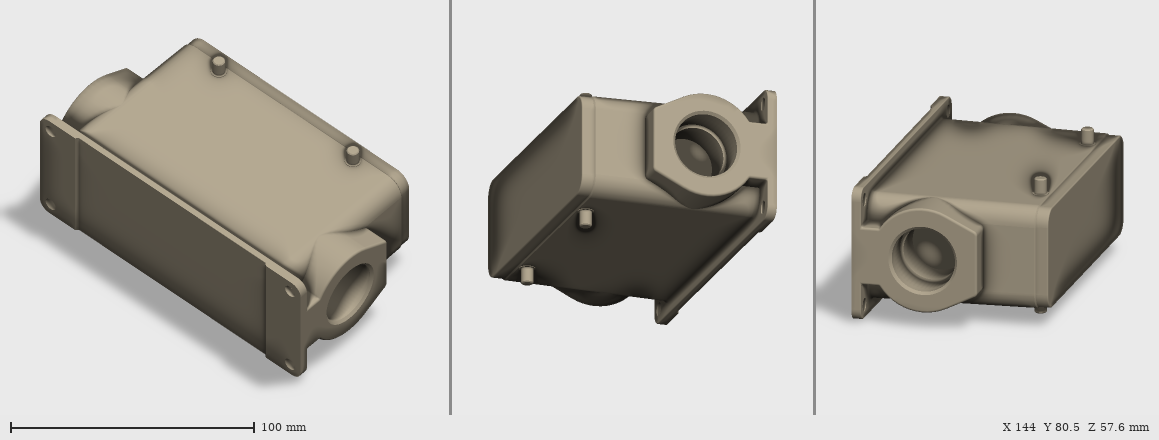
import cadquery as cq
import math

LENGTH = 144.0
DEPTH = 80.5
PIN_SPAN = 57.6
PICK_MARGIN = 0.1

PLATE_WIDTH = 56.5
PLATE_THICKNESS = 4.0
PLATE_CORNER_RADIUS = 5.0
PLATE_EDGE_RADIUS = 0.5
SCREW_HOLE_DIAMETER = 5.6
SCREW_HOLE_X = 66.1
SCREW_HOLE_Z = 22.5
RELIEF_DEPTH = 1.2
RELIEF_MOUTH_HALF_LENGTH = 52.7

BOX_LENGTH = 122.5
BOX_WIDTH = 45.5
BOX_DRAFT = 0.6
BOX_CORNER_RADIUS = 7.8
BOX_RIM_CHAMFER = 0.6
BASE_FILLET = 0.9

COVER_THICKNESS = 5.2
COVER_CORNER_RADIUS = 6.9
COVER_EDGE_RADIUS = 0.6
BOX_DEPTH = DEPTH - COVER_THICKNESS
BOX_SHRINK = 2 * BOX_DEPTH * math.tan(math.radians(BOX_DRAFT))
COVER_LENGTH = BOX_LENGTH - BOX_SHRINK - 2 * BOX_RIM_CHAMFER
COVER_WIDTH = BOX_WIDTH - BOX_SHRINK - 2 * BOX_RIM_CHAMFER

ENTRY_Y = 30.4
ENTRY_RADIUS = 22.3
ENTRY_TOP_Y = 53.4
ENTRY_TOP_HALF_WIDTH = 13.5
ENTRY_NECK_HALF_WIDTH = 12.2
ENTRY_LENGTH = 20.2
ENTRY_TOP_CORNER_RADIUS = 2.2
ENTRY_NECK_FILLET = 0.7
ENTRY_EDGE_RADIUS = 1.0
BORE_DIAMETER = 27.0
BORE_DEPTH = 14.4
INNER_BORE_DIAMETER = 24.0
INNER_BORE_DEPTH = 28.8
BORE_CHAMFER = 1.2

PIN_X = 37.0
PIN_Y = 71.1
PIN_DIAMETER = 5.2
PIN_CHAMFER = 0.5
COLLAR_DIAMETER = 6.8
COLLAR_TOP_Z = 22.3
COLLAR_SEAT_Z = 21.6


def rounded_block(length, width, thickness, start_y, corner_radius, edge_radius):
    """A plate lying across Y, with round corners and a rounded rim on its +Y face."""
    return (
        cq.Workplane("XZ", origin=(0, start_y, 0))
        .rect(length, width)
        .extrude(-thickness)
        .edges("|Y")
        .fillet(corner_radius)
        .faces(">Y")
        .edges()
        .fillet(edge_radius)
    )


def make_plate():
    return rounded_block(
        LENGTH, PLATE_WIDTH, PLATE_THICKNESS, 0, PLATE_CORNER_RADIUS, PLATE_EDGE_RADIUS
    )


def make_box():
    return (
        cq.Workplane("XZ")
        .rect(BOX_LENGTH, BOX_WIDTH)
        .extrude(-BOX_DEPTH, taper=BOX_DRAFT)
        .edges("not(|X or |Z)")
        .fillet(BOX_CORNER_RADIUS)
        .faces(">Y")
        .edges()
        .chamfer(BOX_RIM_CHAMFER)
    )


def make_entry():
    """The cable entry at the -X end: a round boss with a flat top, standing on a straight neck."""
    rise = ENTRY_TOP_Y - ENTRY_Y
    corner_distance = math.hypot(rise, ENTRY_TOP_HALF_WIDTH)
    tangent_angle = math.atan2(ENTRY_TOP_HALF_WIDTH, rise) + math.acos(ENTRY_RADIUS / corner_distance)
    tangent_y = ENTRY_Y + ENTRY_RADIUS * math.cos(tangent_angle)
    tangent_z = ENTRY_RADIUS * math.sin(tangent_angle)
    neck_y = ENTRY_Y - math.sqrt(ENTRY_RADIUS**2 - ENTRY_NECK_HALF_WIDTH**2)
    neck_corners = cq.selectors.BoxSelector(
        (-LENGTH / 2, neck_y - PICK_MARGIN, -ENTRY_NECK_HALF_WIDTH - PICK_MARGIN),
        (-LENGTH / 2 + ENTRY_LENGTH, neck_y + PICK_MARGIN, ENTRY_NECK_HALF_WIDTH + PICK_MARGIN),
    )
    return (
        cq.Workplane("YZ", origin=(-LENGTH / 2, 0, 0))
        .moveTo(0, -ENTRY_NECK_HALF_WIDTH)
        .lineTo(neck_y, -ENTRY_NECK_HALF_WIDTH)
        .threePointArc((ENTRY_Y, -ENTRY_RADIUS), (tangent_y, -tangent_z))
        .lineTo(ENTRY_TOP_Y, -ENTRY_TOP_HALF_WIDTH)
        .lineTo(ENTRY_TOP_Y, ENTRY_TOP_HALF_WIDTH)
        .lineTo(tangent_y, tangent_z)
        .threePointArc((ENTRY_Y, ENTRY_RADIUS), (neck_y, ENTRY_NECK_HALF_WIDTH))
        .lineTo(0, ENTRY_NECK_HALF_WIDTH)
        .close()
        .extrude(ENTRY_LENGTH)
        .faces(">Y")
        .edges("|X")
        .fillet(ENTRY_TOP_CORNER_RADIUS)
        .edges(neck_corners)
        .fillet(ENTRY_NECK_FILLET)
        .faces("<X")
        .edges("not(<Y)")
        .fillet(ENTRY_EDGE_RADIUS)
    )


def make_bore():
    """The stepped, chamfered bore of the -X cable entry, as a solid to cut away."""
    mouth_x = -LENGTH / 2
    bore_radius = BORE_DIAMETER / 2
    inner_radius = INNER_BORE_DIAMETER / 2
    return (
        cq.Workplane("XY", origin=(mouth_x, ENTRY_Y, 0))
        .lineTo(0, bore_radius + BORE_CHAMFER)
        .lineTo(BORE_CHAMFER, bore_radius)
        .lineTo(BORE_DEPTH, bore_radius)
        .lineTo(BORE_DEPTH, inner_radius)
        .lineTo(INNER_BORE_DEPTH, inner_radius)
        .lineTo(INNER_BORE_DEPTH, 0)
        .close()
        .revolve(360, (0, 0), (1, 0))
    )


def make_relief():
    """The shallow relief across the mounting face, with 45 degree ends, as a solid to cut away."""
    floor_half_length = RELIEF_MOUTH_HALF_LENGTH - RELIEF_DEPTH
    return (
        cq.Workplane("XY")
        .moveTo(-RELIEF_MOUTH_HALF_LENGTH, 0)
        .lineTo(-floor_half_length, RELIEF_DEPTH)
        .lineTo(floor_half_length, RELIEF_DEPTH)
        .lineTo(RELIEF_MOUTH_HALF_LENGTH, 0)
        .close()
        .extrude(PLATE_WIDTH / 2, both=True)
    )


def make_screw_holes():
    return (
        cq.Workplane("XZ")
        .rect(2 * SCREW_HOLE_X, 2 * SCREW_HOLE_Z, forConstruction=True)
        .vertices()
        .circle(SCREW_HOLE_DIAMETER / 2)
        .extrude(-PLATE_THICKNESS)
    )


def make_housing(pins):
    entry = make_entry()
    housing = make_plate().union(make_box()).union(entry).union(entry.mirror("YZ"))
    foot_half_length = LENGTH / 2 - PLATE_EDGE_RADIUS - PICK_MARGIN
    foot_half_width = PLATE_WIDTH / 2 - PLATE_EDGE_RADIUS - PICK_MARGIN
    foot_edges = cq.selectors.BoxSelector(
        (-foot_half_length, PLATE_THICKNESS - PICK_MARGIN, -foot_half_width),
        (foot_half_length, PLATE_THICKNESS + PICK_MARGIN, foot_half_width),
    )
    housing = housing.edges(foot_edges).fillet(BASE_FILLET)
    bore = make_bore()
    housing = housing.cut(bore).cut(bore.mirror("YZ")).cut(make_relief()).cut(make_screw_holes())
    for pin in pins:
        housing = housing.cut(pin)
    return housing


def make_cover():
    return rounded_block(
        COVER_LENGTH, COVER_WIDTH, COVER_THICKNESS, BOX_DEPTH, COVER_CORNER_RADIUS, COVER_EDGE_RADIUS
    )


def make_pin(x, side):
    """A collared locking pin on the +Z (side = 1) or -Z (side = -1) wall."""
    top_z = PIN_SPAN / 2
    pin_radius = PIN_DIAMETER / 2
    collar_radius = COLLAR_DIAMETER / 2
    return (
        cq.Workplane("XZ", origin=(x, PIN_Y, 0))
        .moveTo(0, side * COLLAR_SEAT_Z)
        .lineTo(collar_radius, side * COLLAR_SEAT_Z)
        .lineTo(collar_radius, side * COLLAR_TOP_Z)
        .lineTo(pin_radius, side * COLLAR_TOP_Z)
        .lineTo(pin_radius, side * (top_z - PIN_CHAMFER))
        .lineTo(pin_radius - PIN_CHAMFER, side * top_z)
        .lineTo(0, side * top_z)
        .close()
        .revolve(360, (0, 0), (0, 1))
    )


pins = [make_pin(x, side) for x in (-PIN_X, PIN_X) for side in (1, -1)]
housing = make_housing(pins)
cover = make_cover()

result = cq.Compound.makeCompound([housing.val(), cover.val(), *[pin.val() for pin in pins]])